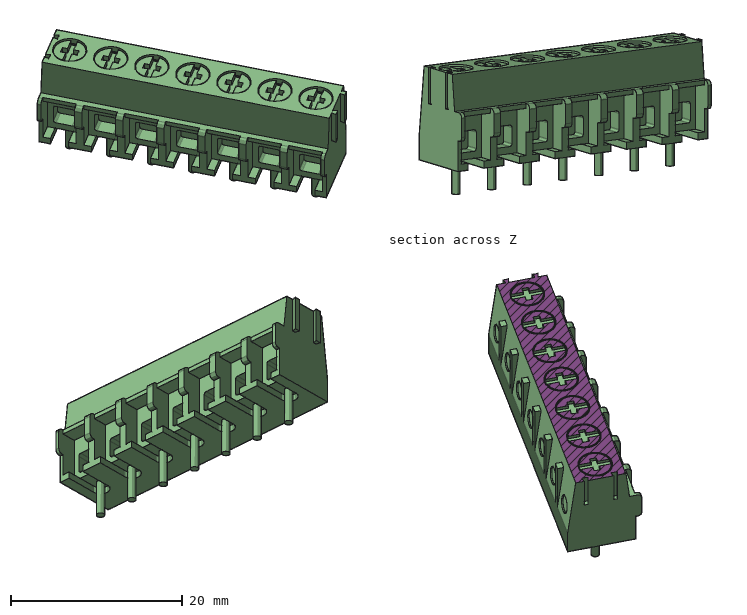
import cadquery as cq


pole_count = 7
overall_length = 35.57
body_length = 35.0
body_height = 11.4
pitch = body_length / pole_count
pole_centres = [(i + 0.5) * pitch for i in range(pole_count)]
pole_boundaries = [i * pitch for i in range(1, pole_count)]

back_y = 4.02
back_slope_start_z = 3.05
top_half_width = 3.0
shoulder_y = -3.5
front_y = -4.25
shroud_y = -4.98
shroud_bottom_z = 3.63
shroud_top_z = 7.05
shroud_radius = 0.57

wall_thickness = 0.92
pocket_width = pitch - wall_thickness
pocket_floor_z = 0.85
pocket_back_y = -2.3
lip_height = shroud_radius
wire_hole_width = 2.63
wire_hole_height = 2.55
wire_hole_centre_z = 3.0
wire_hole_radius = 0.32
wire_hole_depth = 1.78

pin_diameter = 1.0
pin_length = 3.63
pin_slot_width = 2.2

screw_hole_diameter = 4.0
screw_diameter = 3.8
screw_recess = 0.2
screw_gap_depth = 0.55
drive_width = 0.75
drive_cross_length = 2.0
drive_depth = 0.7

dovetail_reach = overall_length - body_length
dovetail_neck = 0.43
dovetail_head = 0.7
dovetail_offset = 1.78
dovetail_bottom_z = shroud_top_z

rib_top_z = 9.25
mark_diameter = 2.2
mark_centre_z = 5.35
mark_depth = 0.18


def make_housing():
    """Side outline run along the full row, with the shroud edges rounded."""
    outline = [
        (back_y, 0),
        (back_y, back_slope_start_z),
        (top_half_width, body_height),
        (-top_half_width, body_height),
        (shoulder_y, shroud_top_z),
        (shroud_y, shroud_top_z),
        (shroud_y, shroud_bottom_z),
        (front_y, shroud_bottom_z),
        (front_y, 0),
    ]
    housing = cq.Workplane("YZ").polyline(outline).close().extrude(body_length)
    return housing.faces("<Y").edges("|X").fillet(shroud_radius)


def block(x_centre, width, y_min, y_max, z_min, z_max):
    """Box centred on x_centre and spanning the given Y and Z ranges."""
    corner = cq.Workplane("XY", origin=(x_centre, y_min, z_min))
    return corner.box(width, y_max - y_min, z_max - z_min, centered=(True, False, False))


def make_wire_entry(x):
    """Front pocket under a roof lip, with a rounded square hole in its back wall."""
    lip_bottom_z = shroud_top_z - lip_height
    pocket = block(x, pocket_width, front_y, pocket_back_y, pocket_floor_z, lip_bottom_z)
    opening = block(x, pocket_width, shroud_y, front_y, pocket_floor_z, shroud_top_z)
    wire_hole = (
        block(
            x,
            wire_hole_width,
            pocket_back_y,
            pocket_back_y + wire_hole_depth,
            wire_hole_centre_z - wire_hole_height / 2,
            wire_hole_centre_z + wire_hole_height / 2,
        )
        .edges("|Y")
        .fillet(wire_hole_radius)
    )
    return pocket.union(opening).union(wire_hole)


def make_pin_slot(x):
    """Slot in the underside, open to the front and rounded about the pin."""
    straight = block(x, pin_slot_width, front_y, 0, 0, pocket_floor_z)
    round_end = cq.Workplane("XY").center(x, 0).circle(pin_slot_width / 2).extrude(pocket_floor_z)
    return straight.union(round_end)


def make_pin(x):
    """Round pin hanging from the top of its slot."""
    return (
        cq.Workplane("XY", origin=(x, 0, -pin_length))
        .circle(pin_diameter / 2)
        .extrude(pin_length + pocket_floor_z)
    )


def make_screw_cut(x):
    """Recess and ring gap around the screw head, plus its cross drive."""
    head_z = body_height - screw_recess
    top = cq.Workplane("XY", origin=(x, 0, body_height))
    head = cq.Workplane("XY", origin=(x, 0, head_z))
    hole_radius = screw_hole_diameter / 2
    screw_radius = screw_diameter / 2
    recess = top.circle(hole_radius).extrude(-screw_recess)
    gap = head.circle(hole_radius).circle(screw_radius).extrude(-screw_gap_depth)
    slot = (
        head.rect(drive_width, screw_hole_diameter)
        .extrude(-drive_depth)
        .intersect(head.circle(screw_radius).extrude(-drive_depth))
    )
    cross = head.rect(drive_cross_length, drive_width).extrude(-drive_depth)
    return recess.union(gap).union(slot).union(cross)


def make_dovetail(x, y):
    """Upright dovetail bar whose neck is at x and which widens towards +X."""
    outline = [
        (x, y - dovetail_neck / 2),
        (x + dovetail_reach, y - dovetail_head / 2),
        (x + dovetail_reach, y + dovetail_head / 2),
        (x, y + dovetail_neck / 2),
    ]
    base = cq.Workplane("XY", origin=(0, 0, dovetail_bottom_z))
    return base.polyline(outline).close().extrude(body_height - dovetail_bottom_z)


def make_back_mark(x):
    """Shallow round recess in the sloping back."""
    slope = (back_y - top_half_width) / (body_height - back_slope_start_z)
    y = back_y - slope * (mark_centre_z - back_slope_start_z)
    face = cq.Plane(origin=(x, y, mark_centre_z), xDir=(1, 0, 0), normal=(0, 1, slope))
    return cq.Workplane(face).circle(mark_diameter / 2).extrude(-mark_depth)


result = make_housing()

for boundary in pole_boundaries:
    result = result.union(block(boundary, wall_thickness, 0, back_y, 0, rib_top_z))

for centre in pole_centres:
    result = result.cut(make_wire_entry(centre))
    result = result.cut(make_pin_slot(centre))
    result = result.cut(make_screw_cut(centre))
    result = result.cut(make_back_mark(centre))
    result = result.union(make_pin(centre))

for offset in (-dovetail_offset, dovetail_offset):
    result = result.cut(make_dovetail(0, offset))
    result = result.union(make_dovetail(body_length, offset))